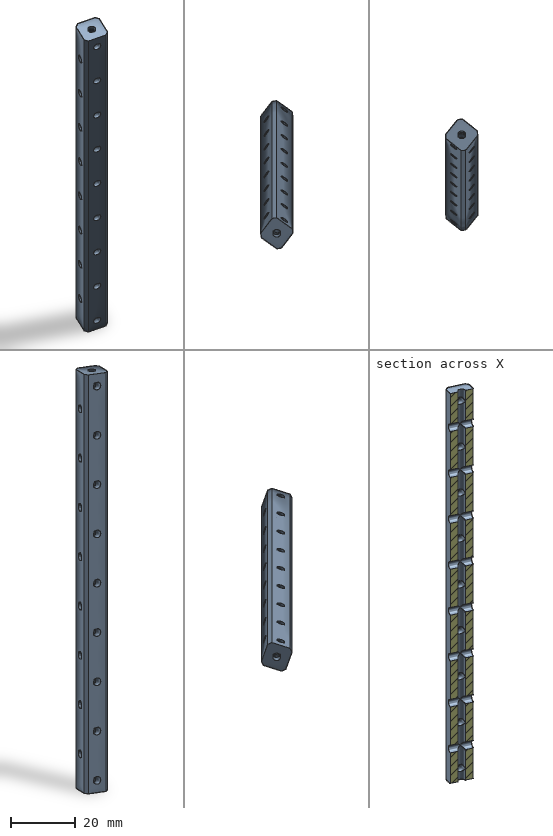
import cadquery as cq

length = 136.0
holes_along_x = 9
chamfer = 1.0
hole_diameter = 2.5

pitch = length / (holes_along_x - 0.5)
width = pitch / 2
end_margin = pitch / 4
holes_along_y = holes_along_x - 1


def make_bar():
    """Square bar standing on Z = 0 with its four long edges chamfered."""
    bar = cq.Workplane("XY").rect(width, width).extrude(length)
    return bar.edges("|Z").chamfer(chamfer)


def hole_row(plane, first_height, count):
    """Row of cross holes, one pitch apart, running right through the bar along the plane normal."""
    points = [(0, first_height + i * pitch) for i in range(count)]
    row = cq.Workplane(plane).pushPoints(points).circle(hole_diameter / 2)
    return row.extrude(width, both=True)


def centre_bore():
    """Lengthwise bore through the whole bar."""
    return cq.Workplane("XY").circle(hole_diameter / 2).extrude(length)


x_holes = hole_row("YZ", end_margin, holes_along_x)
y_holes = hole_row("XZ", end_margin + pitch / 2, holes_along_y)

result = make_bar().cut(x_holes).cut(y_holes).cut(centre_bore())